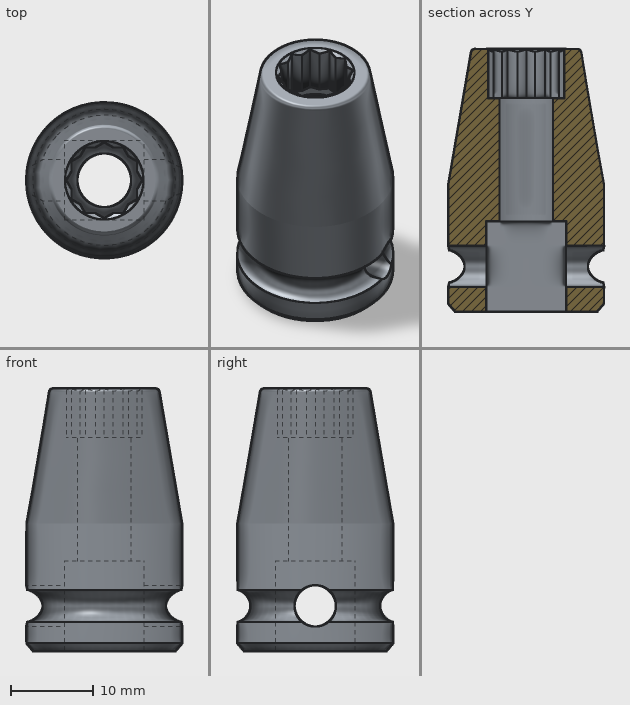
import cadquery as cq
import math

body_radius = 9.5
height = 32.0
taper_start_z = 15.5
nose_radius = 6.75
nose_fillet = 0.5
base_chamfer_height = 1.0
base_chamfer_width = 0.85

groove_z = 5.53
groove_radius = 2.0
groove_floor_radius = 7.92
pin_hole_diameter = 5.0

socket_flats = 8.0
socket_depth = 6.0
socket_turn = 360.0 / 12
lead_in_radius = 4.77
lead_in_angle = 30.0

drive_flats = 9.7
drive_depth = 11.0
bore_diameter = 6.5


def make_body():
    """Revolved outside: chamfered base, cylinder and tapered nose with a rounded rim."""
    outline = (
        cq.Workplane("XZ")
        .lineTo(body_radius - base_chamfer_width, 0)
        .lineTo(body_radius, base_chamfer_height)
        .lineTo(body_radius, taper_start_z)
        .lineTo(nose_radius, height - nose_fillet)
        .tangentArcPoint((nose_radius - nose_fillet, height), relative=False)
        .lineTo(0, height)
        .close()
    )
    return outline.revolve(360, (0, 0, 0), (0, 1, 0))


def make_groove():
    """Ring of circular section that cuts the retaining groove."""
    ring_radius = groove_floor_radius + groove_radius
    section = cq.Workplane("XZ").center(ring_radius, groove_z).circle(groove_radius)
    return section.revolve(360, (-ring_radius, 0, 0), (-ring_radius, 1, 0))


def make_pin_hole():
    """Cylinder along X through both walls."""
    hole = cq.Workplane("YZ").center(0, groove_z).circle(pin_hole_diameter / 2)
    return hole.extrude(body_radius, both=True)


def make_socket():
    """Two crossed hexagons with a conical lead-in."""
    corner_diameter = socket_flats / math.cos(math.radians(socket_turn))
    hexagon = (
        cq.Workplane("XY")
        .workplane(offset=height - socket_depth)
        .polygon(6, corner_diameter)
        .extrude(socket_depth)
    )
    turned_hexagon = hexagon.rotate((0, 0, 0), (0, 0, 1), socket_turn)
    cone_depth = lead_in_radius * math.tan(math.radians(lead_in_angle))
    lead_in = (
        cq.Workplane("XZ")
        .moveTo(0, height)
        .lineTo(lead_in_radius, height)
        .lineTo(0, height - cone_depth)
        .close()
        .revolve(360, (0, 0, 0), (0, 1, 0))
    )
    return hexagon.union(turned_hexagon).union(lead_in)


def make_drive():
    """Square drive recess."""
    return cq.Workplane("XY").rect(drive_flats, drive_flats).extrude(drive_depth)


def make_bore():
    """Round bore along the axis."""
    return cq.Workplane("XY").circle(bore_diameter / 2).extrude(height)


result = (
    make_body()
    .cut(make_groove())
    .cut(make_drive())
    .cut(make_bore())
    .cut(make_socket())
    .cut(make_pin_hole())
)